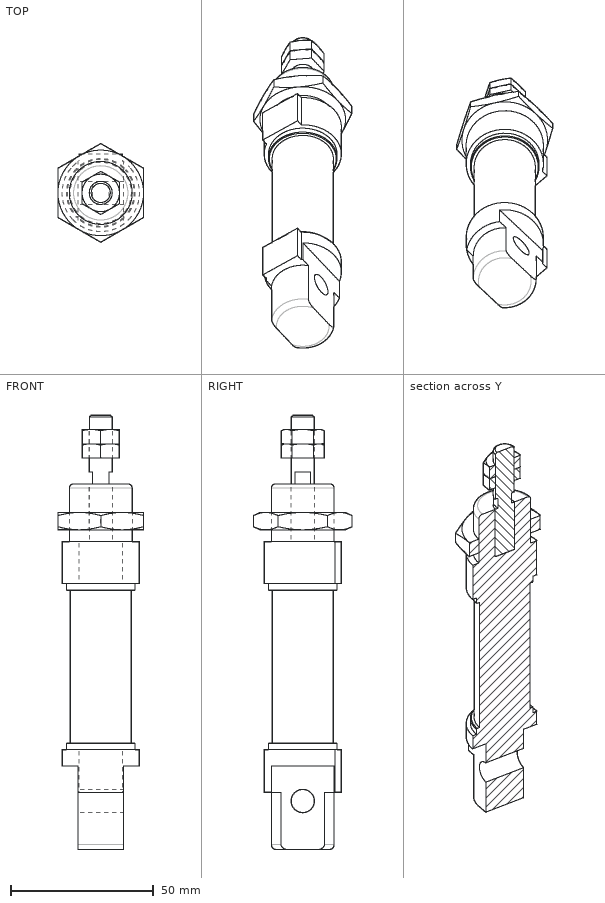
import cadquery as cq
import math

total_height = 152.0
tongue_hole_z = 17.0
rear_collar_bottom = 20.0
tongue_top = 29.2
rear_collar_top = 35.0
front_collar_bottom = 93.0
front_collar_top = 107.8
nose_top = 128.0
wrench_flat_top = 132.1

tube_diameter = 21.5
ring_diameter = 24.0
ring_height = 2.5
ring_chamfer = 0.3
collar_diameter = 27.0
collar_pad_width = 15.0
nose_diameter = 22.0
nose_fillet = 1.5
tongue_thickness = 16.0
tongue_fillet = 1.8
tongue_hole_diameter = 8.0

rod_diameter = 8.0
rod_bottom = front_collar_top
rod_tip_diameter = 6.7
rod_tip_chamfer_height = 0.6
wrench_flat_width = 6.0

mount_nut_width = 30.0
mount_nut_bottom = 111.9
mount_nut_height = 6.1
rod_nut_width = 13.0
rod_nut_bottom = 137.0
rod_nut_height = 5.0
rod_nut_count = 2
nut_chamfer_angle = 25.0
hexagon_half_angle = 30.0


def cylinder(diameter, bottom, top):
    """Upright cylinder on the Z axis between two heights."""
    return cq.Workplane("XY").workplane(offset=bottom).circle(diameter / 2).extrude(top - bottom)


def make_collar(bottom, top):
    """Round collar with a flat-sided port pad that squares off its +Y side."""
    radius = collar_diameter / 2
    pad = (
        cq.Workplane("XY")
        .workplane(offset=bottom)
        .center(0, radius / 2)
        .rect(collar_pad_width, radius)
        .extrude(top - bottom)
    )
    return cylinder(collar_diameter, bottom, top).union(pad)


def make_front_cap():
    """Nose with a rounded rim, front collar and crimp ring."""
    nose = cylinder(nose_diameter, front_collar_top, nose_top).faces(">Z").edges().fillet(nose_fillet)
    ring = cylinder(ring_diameter, front_collar_bottom - ring_height, front_collar_bottom)
    ring = ring.faces("<Z").edges().chamfer(ring_chamfer)
    return nose.union(make_collar(front_collar_bottom, front_collar_top)).union(ring)


def make_rear_cap():
    """Crimp ring, rear collar and the flat-sided tongue with its pivot hole."""
    ring = cylinder(ring_diameter, rear_collar_top, rear_collar_top + ring_height)
    ring = ring.faces(">Z").edges().chamfer(ring_chamfer)
    tail = cylinder(nose_diameter, 0, rear_collar_bottom).faces("<Z").edges().fillet(tongue_fillet)
    cap = tail.union(make_collar(rear_collar_bottom, rear_collar_top))

    side_cut_depth = collar_diameter
    side_cut_x = (tongue_thickness + side_cut_depth) / 2
    side_cuts = (
        cq.Workplane("XY")
        .pushPoints([(-side_cut_x, 0), (side_cut_x, 0)])
        .rect(side_cut_depth, 2 * collar_diameter)
        .extrude(tongue_top)
    )
    pivot_hole = (
        cq.Workplane("YZ")
        .center(0, tongue_hole_z)
        .circle(tongue_hole_diameter / 2)
        .extrude(tongue_thickness, both=True)
    )
    return cap.cut(side_cuts).cut(pivot_hole).union(ring)


def make_housing():
    """Tube joined to both end caps, with a bore in the nose that guides the rod."""
    tube = cylinder(tube_diameter, rear_collar_top, front_collar_bottom)
    rod_bore = cylinder(rod_diameter, rod_bottom, nose_top)
    return tube.union(make_front_cap()).union(make_rear_cap()).cut(rod_bore)


def make_rod():
    """Piston rod set in the nose bore, with wrench flats on the X sides and a chamfered tip."""
    tip_inset = (rod_diameter - rod_tip_diameter) / 2
    rod = cylinder(rod_diameter, rod_bottom, total_height)
    rod = rod.faces(">Z").edges().chamfer(rod_tip_chamfer_height, tip_inset)
    flat_zone = cylinder(rod_diameter, nose_top, wrench_flat_top)
    flat_core = flat_zone.intersect(
        cq.Workplane("XY")
        .workplane(offset=nose_top)
        .rect(wrench_flat_width, rod_diameter)
        .extrude(wrench_flat_top - nose_top)
    )
    return rod.cut(flat_zone.cut(flat_core))


def make_nut(width, bottom, height, bore, chamfered_faces):
    """Hexagon nut with corners pointing along Y, corner-chamfered on the selected faces."""
    corner_diameter = width / math.cos(math.radians(hexagon_half_angle))
    hexagon = (
        cq.Workplane("XY")
        .polygon(6, corner_diameter)
        .extrude(height)
        .rotate((0, 0, 0), (0, 0, 1), hexagon_half_angle)
        .translate((0, 0, bottom))
    )
    chamfer_inset = (corner_diameter - width) / 2
    chamfer_height = chamfer_inset * math.tan(math.radians(nut_chamfer_angle))
    envelope = (
        cylinder(corner_diameter, bottom, bottom + height)
        .faces(chamfered_faces)
        .edges()
        .chamfer(chamfer_height, chamfer_inset)
    )
    return hexagon.intersect(envelope).cut(cylinder(bore, bottom, bottom + height))


housing = make_housing()
rod = make_rod()
mount_nut = make_nut(mount_nut_width, mount_nut_bottom, mount_nut_height, nose_diameter, "<Z or >Z")
rod_nuts = [
    make_nut(rod_nut_width, rod_nut_bottom + i * rod_nut_height, rod_nut_height, rod_diameter, ">Z")
    for i in range(rod_nut_count)
]

result = cq.Compound.makeCompound(
    [housing.val(), rod.val(), mount_nut.val(), *[nut.val() for nut in rod_nuts]]
)